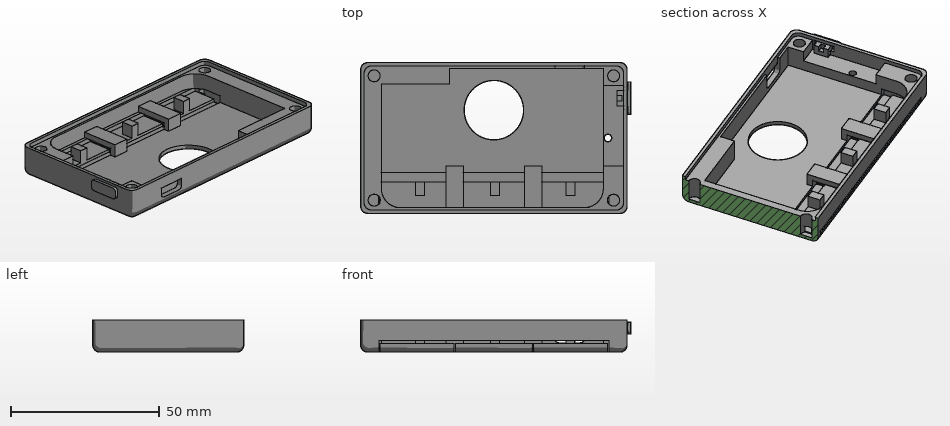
import cadquery as cq

case_length = 90.0
case_width = 51.0
case_height = 11.0
edge_radius = 2.5
floor_height = 1.5
shoulder_height = 9.5
rim_thickness = 1.2
rim_corner_radius = 2.5

wall_thickness = 2.0
left_margin = 7.0
right_margin = 8.0
cavity_corner_radius = 6.4
back_block_length = 22.9
back_block_width = 5.2

shelf_height = 5.5
shelf_back = 17.7
shelf_front = -9.5
shelf_hole_diameter = 2.5
shelf_hole_inset = 6.5

speaker_diameter = 20.0
speaker_y = 9.4
screw_hole_diameter = 4.0
screw_x = 40.45
screw_y = 21.0

window_width = 9.95
window_x = 25.6
window_sill = 3.2
window_top = 7.0
window_corner_radius = 1.4

key_slit_x = (-38.6, -13.2, 13.2, 38.6)
key_slot_top = 3.9
key_slit = 0.5
key_lip_top = 3.0
key_back = -14.9
hinge_back = -11.6
hinge_thickness = 0.5
finger_width = 3.0
finger_length = 4.5
finger_top = 6.0
finger_pitch = 25.4
finger_middle_x = 0.5

bridge_width = 5.9
bridge_back = -9.5
bridge_top = 6.0

slider_y = 13.4
plate_length = 11.1
plate_height = 4.0
plate_bottom = 6.1
plate_gap = 0.2
plate_thickness = 1.1
plate_corner_radius = 1.3
neck_bottom = 7.3
fork_width = 5.3
fork_bottom = 6.0
fork_top = 9.5
fork_depth = 2.2
fork_gap = 0.5
notch_width = 1.7
notch_depth = 1.6
notch_bottom = 7.7
slider_slot_length = 7.5
slider_slot_top = 9.6

case_right = case_length / 2
case_front = -case_width / 2
case_back = case_width / 2
cavity_left = -case_right + left_margin
cavity_right = case_right - right_margin
cavity_front = case_front + wall_thickness
cavity_back = case_back - wall_thickness
wall_inside = case_right - rim_thickness
plate_inside = case_right + plate_gap
finger_x = [finger_middle_x + step * finger_pitch for step in (-1, 0, 1)]
key_slot_half = key_slit_x[-1] + key_slit / 2


def block(x_range, y_range, z_range):
    """Box between the given limits on each axis."""
    size = [high - low for low, high in (x_range, y_range, z_range)]
    corner = (x_range[0], y_range[0], z_range[0])
    return cq.Workplane("XY").box(*size, centered=False).translate(corner)


def outer_block():
    """Rounded outside of the case, filled solid."""
    body = cq.Workplane("XY").box(case_length, case_width, case_height, centered=(True, True, False))
    return body.edges("|Z").fillet(edge_radius).faces("<Z").edges().fillet(edge_radius)


def rim_recess():
    """Space above the shoulder, inside the rim."""
    return (
        cq.Workplane("XY", origin=(0, 0, shoulder_height))
        .rect(case_length - 2 * rim_thickness, case_width - 2 * rim_thickness)
        .extrude(case_height - shoulder_height)
        .edges("|Z")
        .fillet(rim_corner_radius)
    )


def cavity():
    """Main pocket, with two rounded front corners and a block left standing at the back left."""
    depth_range = (floor_height, shoulder_height)
    pocket = block((cavity_left, cavity_right), (cavity_front, cavity_back), depth_range)
    pocket = pocket.edges("|Z and <Y").fillet(cavity_corner_radius)
    back_block = block(
        (cavity_left, cavity_left + back_block_length),
        (cavity_back - back_block_width, cavity_back),
        depth_range,
    )
    return pocket.cut(back_block)


def shelf_recess():
    return block((cavity_right, wall_inside), (shelf_front, shelf_back), (shelf_height, shoulder_height))


def round_holes():
    """Speaker opening and shelf hole through the case, and four blind screw holes."""
    speaker = cq.Workplane("XY").center(0, speaker_y).circle(speaker_diameter / 2).extrude(case_height)
    shelf_hole = (
        cq.Workplane("XY")
        .center(case_right - shelf_hole_inset, 0)
        .circle(shelf_hole_diameter / 2)
        .extrude(case_height)
    )
    screw_holes = (
        cq.Workplane("XY", origin=(0, 0, floor_height))
        .rect(2 * screw_x, 2 * screw_y, forConstruction=True)
        .vertices()
        .circle(screw_hole_diameter / 2)
        .extrude(shoulder_height - floor_height)
    )
    return speaker.union(shelf_hole).union(screw_holes)


def connector_window():
    """Opening through the back wall; inside the rim plane it runs up through the shoulder."""
    x_range = (window_x - window_width / 2, window_x + window_width / 2)
    opening = block(x_range, (cavity_back, case_back), (window_sill, window_top))
    relief = block(x_range, (cavity_back, case_back - rim_thickness), (window_sill, shoulder_height))
    return opening.union(relief).edges("|Y and <Z").fillet(window_corner_radius)


def key_slot():
    """Clearance around the keys, open to the front and the bottom."""
    return block((-key_slot_half, key_slot_half), (case_front, hinge_back), (0, key_slot_top))


def bridges():
    """Brackets from the front wall over the keys, each with a foot on the floor behind the hinge."""
    parts = cq.Workplane("XY")
    for middle in key_slit_x[1:-1]:
        x_range = (middle - bridge_width / 2, middle + bridge_width / 2)
        beam = block(x_range, (cavity_front, bridge_back), (key_slot_top, bridge_top))
        foot = block(x_range, (hinge_back, bridge_back), (floor_height, bridge_top))
        parts = parts.add(beam.union(foot))
    return parts.combine()


def key(left_slit, right_slit, finger_middle):
    """One key: raised front lip, floor-level plate, thin hinge behind it and a finger on the plate."""
    x_range = (left_slit + key_slit / 2, right_slit - key_slit / 2)
    lip = block(x_range, (case_front, cavity_front), (0, key_lip_top))
    plate = block(x_range, (case_front, key_back), (0, floor_height))
    hinge = block(x_range, (key_back, hinge_back), (0, hinge_thickness))
    finger = block(
        (finger_middle - finger_width / 2, finger_middle + finger_width / 2),
        (key_back - finger_length, key_back),
        (floor_height, finger_top),
    )
    return plate.union(lip).union(hinge).union(finger)


def slider_slot():
    """Slot through the right wall in which the slider neck travels."""
    half = slider_slot_length / 2
    return block(
        (wall_inside, case_right), (slider_y - half, slider_y + half), (neck_bottom, slider_slot_top)
    )


def make_case():
    outside = outer_block()
    case = outside
    for space in (rim_recess(), cavity(), shelf_recess(), round_holes(), connector_window()):
        case = case.cut(space)
    case = case.cut(key_slot()).cut(slider_slot()).union(bridges())
    for left_slit, right_slit, finger_middle in zip(key_slit_x, key_slit_x[1:], finger_x):
        case = case.union(key(left_slit, right_slit, finger_middle).intersect(outside))
    return case


def make_slider():
    """Finger plate outside the wall, neck through the slot and notched fork inside."""
    plate = (
        block(
            (plate_inside, plate_inside + plate_thickness),
            (slider_y - plate_length / 2, slider_y + plate_length / 2),
            (plate_bottom, plate_bottom + plate_height),
        )
        .edges("|X")
        .fillet(plate_corner_radius)
    )
    fork_y = (slider_y - fork_width / 2, slider_y + fork_width / 2)
    fork_inside = wall_inside - fork_depth
    neck = block((fork_inside, plate_inside), fork_y, (neck_bottom, fork_top))
    fork = block((fork_inside, wall_inside - fork_gap), fork_y, (fork_bottom, fork_top))
    notch = block(
        (fork_inside, fork_inside + notch_depth),
        (slider_y - notch_width / 2, slider_y + notch_width / 2),
        (notch_bottom, fork_top),
    )
    return plate.union(neck).union(fork).cut(notch)


case = make_case()
slider = make_slider()
result = cq.Compound.makeCompound([case.solids().val(), slider.solids().val()])